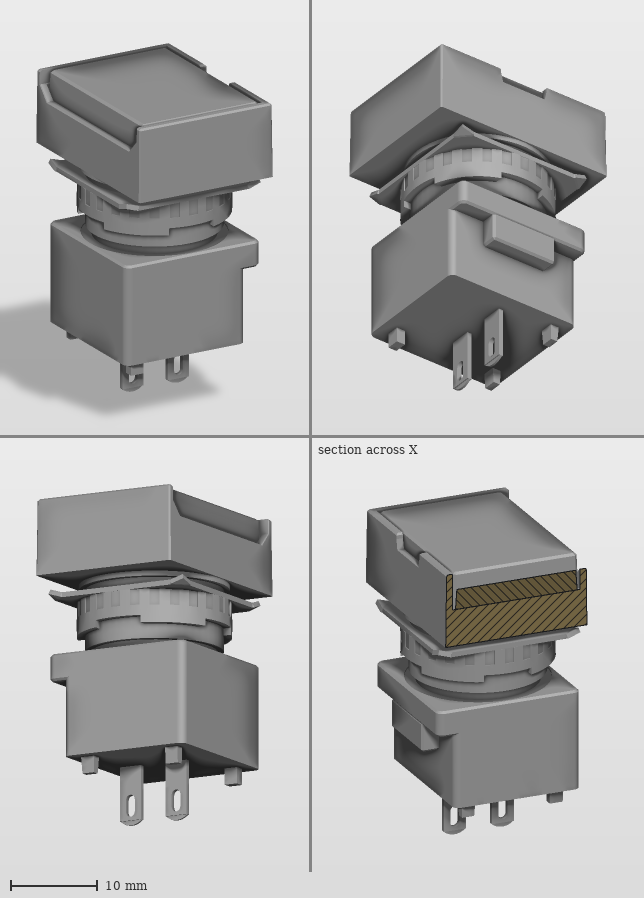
import cadquery as cq
import math


bezel_x = 23.9
bezel_y = 17.85
bezel_height = 9.0
bezel_draft = 0.7
bezel_edge = 0.2
rim_chamfer = 0.22
pocket_x = 22.0
pocket_y = 16.0
pocket_depth = 4.43
window_half_top = 11.07
window_half_bottom = 9.4
window_sill_z = 5.65
window_shoulder_z = window_sill_z + window_half_top - window_half_bottom
window_chamfer = 0.1
notch_half_top = 3.3
notch_half_bottom = 3.0
notch_shoulder_depth = 0.65
notch_depth = 1.92

lens_gap = 0.22
lens_draft = 2.0
lens_foot_gap = lens_gap - pocket_depth * math.tan(math.radians(lens_draft))
lens_x = pocket_x - 2 * lens_foot_gap
lens_y = pocket_y - 2 * lens_foot_gap
lens_chamfer_height = 0.25
lens_chamfer_width = 0.35

flange_radius = 8.75
flange_thickness = 0.6
barrel_radius = 8.0
barrel_bottom_z = -7.8
neck_radius = 7.27

washer_thickness = 0.6
washer_top_z = -1.6
washer_bottom_z = washer_top_z - washer_thickness
fold_start = 7.2
tab_angle = 25.0
washer_full_width = 18.08
bend_overhang = washer_thickness * math.sin(math.radians(tab_angle)) / math.sqrt(2)
washer_side = washer_full_width - 2 * bend_overhang

nut_radius = 8.95
nut_bottom_z = -6.1
grip_count = 24
grip_width = 1.15
grip_depth = 0.15
grip_height = 1.85
nut_slot_width = 5.95
nut_slot_height = 0.85

base_side = 18.0
base_top_z = -8.75
base_bottom_z = -20.95
base_corner_radius = 0.9
base_chamfer = 0.25
step_y = 6.9
step_z = -11.92
step_corner_radius = 0.77
recess_radius = 8.52
recess_depth = 0.2
lever_width = 8.85
lever_bottom_z = -15.3

leg_length = 1.92
left_leg_x = -7.0
right_leg_x = 6.8
front_leg_y = -6.55
rear_leg_y = 4.55
left_leg_top_width = 1.15
left_leg_bottom_width = 0.9
right_leg_width = 1.15
front_leg_depth = 1.62
rear_leg_top_depth = 1.75
rear_leg_bottom_depth = 1.5

terminal_y = 3.03
terminal_width = 2.8
terminal_thickness = 0.6
terminal_shoulder_z = -27.35
overall_height = 36.9
terminal_tip_z = bezel_height - overall_height
tip_thickness = 0.3
eye_width = 1.15
eye_length = 2.6
eye_z = -25.6


def box(size_x, size_y, bottom_z, top_z):
    """Box centred on the Z axis between two heights."""
    return cq.Workplane("XY").workplane(offset=bottom_z).rect(size_x, size_y).extrude(top_z - bottom_z)


def disc(radius, bottom_z, top_z):
    """Cylinder on the Z axis between two heights."""
    return cq.Workplane("XY").workplane(offset=bottom_z).circle(radius).extrude(top_z - bottom_z)


def window_outline(grow):
    """Outline of the front window in the XZ plane, enlarged by `grow` on its sides and sill."""
    top_z = bezel_height + 0.37
    diagonal_shift = grow * math.tan(math.radians(22.5))
    half_top = window_half_top + grow
    half_bottom = window_half_bottom + diagonal_shift
    shoulder_z = window_shoulder_z - diagonal_shift
    sill_z = window_sill_z - grow
    return [
        (-half_top, top_z),
        (-half_top, shoulder_z),
        (-half_bottom, sill_z),
        (half_bottom, sill_z),
        (half_top, shoulder_z),
        (half_top, top_z),
    ]


def make_bezel():
    bezel = (
        cq.Workplane("XY")
        .rect(bezel_x, bezel_y)
        .extrude(bezel_height, taper=bezel_draft)
        .edges("not(#Z or |X or |Y)")
        .chamfer(bezel_edge)
        .faces(">Z")
        .edges()
        .chamfer(rim_chamfer)
    )
    bezel = bezel.cut(box(pocket_x, pocket_y, bezel_height - pocket_depth, bezel_height))

    window = cq.Workplane("XZ").polyline(window_outline(0)).close().extrude(bezel_y)
    front_y = bezel_y / 2 - window_sill_z * math.tan(math.radians(bezel_draft))
    flare = (
        cq.Workplane("XZ", origin=(0, window_chamfer - front_y, 0))
        .polyline(window_outline(0))
        .close()
        .workplane(offset=2 * window_chamfer)
        .polyline(window_outline(2 * window_chamfer))
        .close()
        .loft(ruled=True)
    )

    notch_shoulder_z = bezel_height - notch_shoulder_depth
    notch_floor_z = bezel_height - notch_depth
    notch = (
        cq.Workplane("XZ")
        .polyline([
            (-notch_half_top - rim_chamfer, bezel_height),
            (-notch_half_top, bezel_height - rim_chamfer),
            (-notch_half_top, notch_shoulder_z),
            (-notch_half_bottom, notch_floor_z),
            (notch_half_bottom, notch_floor_z),
            (notch_half_top, notch_shoulder_z),
            (notch_half_top, bezel_height - rim_chamfer),
            (notch_half_top + rim_chamfer, bezel_height),
        ])
        .close()
        .extrude(-bezel_y)
    )
    return bezel.cut(window).cut(flare).cut(notch)


def make_barrel():
    flange = disc(flange_radius, -flange_thickness, 0)
    barrel = disc(barrel_radius, barrel_bottom_z, 0)
    neck = disc(neck_radius, base_top_z - recess_depth, 0)
    return flange.union(barrel).union(neck)


def make_base():
    base = (
        box(base_side, base_side, step_z, base_top_z)
        .edges("|Z")
        .fillet(base_corner_radius)
        .faces("<Z or >Z")
        .edges()
        .chamfer(base_chamfer)
    )

    lower_depth = base_side / 2 + step_y
    lower = (
        box(base_side, lower_depth, base_bottom_z, base_top_z - base_chamfer)
        .translate((0, step_y - lower_depth / 2, 0))
        .edges("|Z and <Y")
        .fillet(base_corner_radius)
        .edges("|Z and >Y")
        .fillet(step_corner_radius)
    )
    base = base.union(lower)

    base = base.cut(disc(recess_radius, base_top_z - recess_depth, base_top_z))

    rear_depth = base_side / 2 - step_y
    lever = (
        box(lever_width, rear_depth, lever_bottom_z, step_z)
        .translate((0, step_y + rear_depth / 2, 0))
        .edges("(|Z and >Y) or (<Z and (not <Y))")
        .chamfer(base_chamfer)
    )
    return base.union(lever)


def make_leg(center, top_size, bottom_size):
    """Leg that narrows downwards from its top size to its bottom size."""
    return (
        cq.Workplane("XY")
        .workplane(offset=base_bottom_z - leg_length)
        .rect(*bottom_size)
        .workplane(offset=leg_length)
        .rect(*top_size)
        .loft(ruled=True)
        .translate((*center, 0))
    )


def make_legs():
    front_left = make_leg(
        (left_leg_x, front_leg_y),
        (left_leg_top_width, front_leg_depth),
        (left_leg_bottom_width, front_leg_depth),
    )
    rear_left = make_leg(
        (left_leg_x, rear_leg_y),
        (left_leg_top_width, rear_leg_top_depth),
        (left_leg_bottom_width, rear_leg_bottom_depth),
    )
    right_size = (right_leg_width, front_leg_depth)
    front_right = make_leg((right_leg_x, front_leg_y), right_size, right_size)
    return front_left.union(rear_left).union(front_right)


def make_terminal(center_y):
    """Flat solder terminal with an eye and a thinner rounded tip."""
    blade = box(terminal_thickness, terminal_width, terminal_shoulder_z, base_bottom_z)
    tip = (
        cq.Workplane("YZ")
        .moveTo(-terminal_width / 2, terminal_shoulder_z)
        .threePointArc((0, terminal_tip_z), (terminal_width / 2, terminal_shoulder_z))
        .close()
        .extrude(tip_thickness / 2, both=True)
    )
    eye = (
        cq.Workplane("YZ")
        .center(0, eye_z)
        .slot2D(eye_length, eye_width, 90)
        .extrude(terminal_thickness, both=True)
    )
    return blade.union(tip).cut(eye).translate((0, center_y, 0))


def make_housing():
    housing = make_bezel().union(make_barrel()).union(make_base()).union(make_legs())
    for center_y in (-terminal_y, terminal_y):
        housing = housing.union(make_terminal(center_y))
    return housing


def make_lens():
    return (
        cq.Workplane("XY")
        .workplane(offset=bezel_height - pocket_depth)
        .rect(lens_x, lens_y)
        .extrude(pocket_depth, taper=lens_draft)
        .edges("not(#Z or |X or |Y)")
        .chamfer(lens_chamfer_width)
        .faces(">Z")
        .edges()
        .chamfer(lens_chamfer_height, lens_chamfer_width)
    )


def make_tab():
    """Corner of the washer at +X +Y, bent up about its upper fold line."""
    half = washer_side / 2
    fold_ends = [(fold_start, half, washer_top_z), (half, fold_start, washer_top_z)]
    corner = (
        cq.Workplane("XY")
        .workplane(offset=washer_bottom_z)
        .polyline([(fold_start, half), (half, half), (half, fold_start)])
        .close()
        .extrude(washer_thickness)
        .rotate(*fold_ends, tab_angle)
    )

    fold_distance = (fold_start + half) / math.sqrt(2)
    fold_length = (half - fold_start) * math.sqrt(2)
    bend = math.radians(tab_angle)
    wedge = (
        cq.Workplane("XZ")
        .polyline([
            (fold_distance, washer_top_z),
            (fold_distance, washer_bottom_z),
            (
                fold_distance + washer_thickness * math.sin(bend),
                washer_top_z - washer_thickness * math.cos(bend),
            ),
        ])
        .close()
        .extrude(fold_length / 2, both=True)
        .rotate((0, 0, 0), (0, 0, 1), 45)
    )
    return corner.union(wedge)


def make_washer():
    fold_cut = washer_side / 2 - fold_start
    washer = box(washer_side, washer_side, washer_bottom_z, washer_top_z).edges("|Z").chamfer(fold_cut)
    tab = make_tab()
    for corner in range(4):
        washer = washer.union(tab.rotate((0, 0, 0), (0, 0, 1), 90 * corner))
    return washer.cut(disc(barrel_radius, washer_bottom_z, washer_top_z))


def make_nut():
    nut = disc(nut_radius, nut_bottom_z, washer_bottom_z)
    nut = nut.cut(disc(barrel_radius, nut_bottom_z, washer_bottom_z))

    notch = box(2 * grip_depth, grip_width, washer_bottom_z - grip_height, washer_bottom_z)
    notch = notch.translate((nut_radius, 0, 0))
    for i in range(grip_count):
        nut = nut.cut(notch.rotate((0, 0, 0), (0, 0, 1), 360 / grip_count * i))

    slot = box(3 * nut_radius, nut_slot_width, nut_bottom_z, nut_bottom_z + nut_slot_height)
    return nut.cut(slot).cut(slot.rotate((0, 0, 0), (0, 0, 1), 90))


housing = make_housing()
lens = make_lens()
washer = make_washer()
nut = make_nut()

result = cq.Compound.makeCompound([body.solids().val() for body in (housing, lens, washer, nut)])